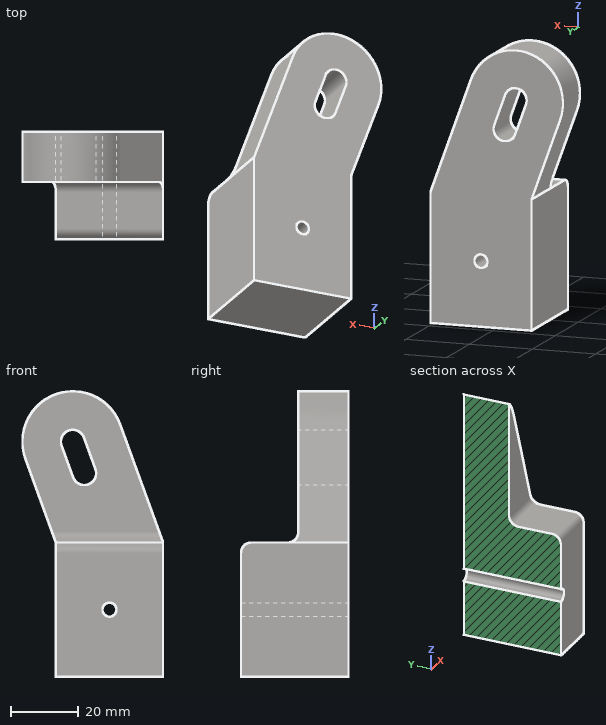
import cadquery as cq
import math

block_width = 32.0
block_depth = 32.0
block_height = 40.0
edge_radius = 3.0

lug_thickness = 15.0
lug_lean = math.radians(20.0)
lug_eye_rise = 30.0
lug_radius = block_width / 2 * math.cos(lug_lean)

slot_radius = 3.5
slot_travel = 10.0

hole_diameter = 4.1
hole_height = 20.0

lug_front = block_depth - lug_thickness
eye_x = block_width / 2 - lug_eye_rise * math.tan(lug_lean)
eye_z = block_height + lug_eye_rise


def upright_plane(y):
    """Workplane in XZ (local x = X, local y = Z) at the given Y; negative extrusions run toward +Y."""
    return cq.Workplane("XZ", origin=(0, y, 0))


def eye_point(angle):
    """Point on the lug's round end at an angle from +X."""
    return (eye_x + lug_radius * math.cos(angle), eye_z + lug_radius * math.sin(angle))


def make_block():
    block = cq.Workplane("XY").box(block_width, block_depth, block_height, centered=False)
    return block.edges("<Y and >Z").fillet(edge_radius)


def make_lug(front_y):
    """Lug outline extruded from front_y to the back face."""
    return (
        upright_plane(front_y)
        .moveTo(0, block_height)
        .lineTo(block_width, block_height)
        .lineTo(*eye_point(lug_lean))
        .threePointArc(eye_point(lug_lean + math.pi / 2), eye_point(lug_lean + math.pi))
        .close()
        .extrude(front_y - block_depth)
    )


def make_root_fillet():
    """Concave fillet between lug and block top, trimmed to the lug's leaning sides."""
    side_margin = block_width
    bar = (
        cq.Workplane("YZ", origin=(-side_margin, 0, 0))
        .moveTo(lug_front - edge_radius, block_height)
        .radiusArc((lug_front, block_height + edge_radius), -edge_radius)
        .lineTo(lug_front, block_height)
        .close()
        .extrude(block_width + 2 * side_margin)
    )
    return bar.intersect(make_lug(lug_front - edge_radius))


def make_slot():
    slot_middle_x = eye_x + slot_travel / 2 * math.sin(lug_lean)
    slot_middle_z = eye_z - slot_travel / 2 * math.cos(lug_lean)
    slot_angle = 90 + math.degrees(lug_lean)
    return (
        upright_plane(0)
        .center(slot_middle_x, slot_middle_z)
        .slot2D(slot_travel + 2 * slot_radius, 2 * slot_radius, slot_angle)
        .extrude(-block_depth)
    )


def make_cross_hole():
    return (
        upright_plane(0)
        .center(block_width / 2, hole_height)
        .circle(hole_diameter / 2)
        .extrude(-block_depth)
    )


body = make_block().union(make_lug(lug_front)).union(make_root_fillet())
result = body.cut(make_slot()).cut(make_cross_hole())